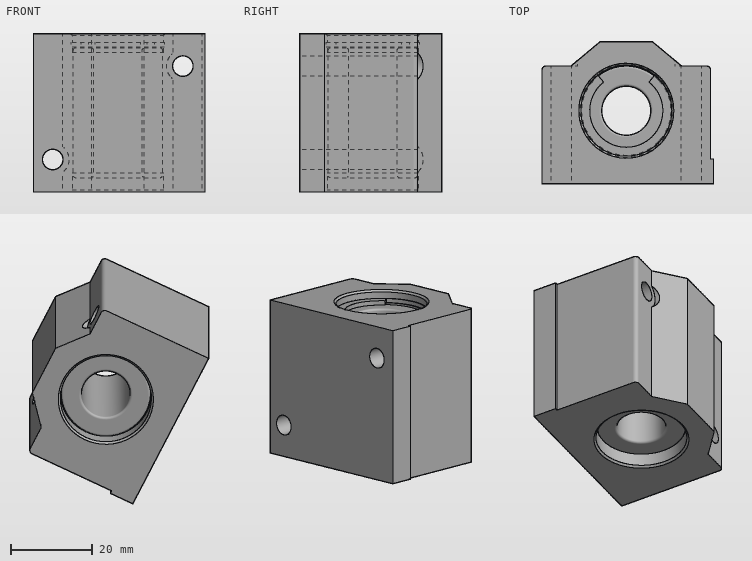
import cadquery as cq
import math

height = 39.0
body_width = 41.55
lip_side_width = 42.25
depth = 35.0
front_to_axis = 18.0
lip_depth = 6.15
shoulder_drop = 5.95
ridge_foot_half_width = 13.6
ridge_top_half_width = 6.45
corner_radius = 1.0

bore_radius = 11.0
mouth_radius = 11.2
mouth_depth = 4.65
mouth_chamfer = 0.5
groove_radius = 11.5
ring_top_inset = 2.15
ring_thickness = 1.1

ring_inner_radius = 9.0
ring_gap_half_angle = 38.5

bushing_bore_radius = 6.0
bushing_inset = 3.5
bushing_rim_radius = 0.6

mount_diameter = 5.0
spot_face_diameter = 8.03
mount_offset_x = 16.0
mount_offset_z = 11.5

front_y = -front_to_axis
back_y = front_y + depth
shoulder_y = back_y - shoulder_drop
left_x = -body_width / 2
right_x = body_width / 2
lip_x = left_x + lip_side_width
lip_y = front_y + lip_depth
ring_top_z = height - ring_top_inset
ring_bottom_z = ring_top_z - ring_thickness
bushing_top_z = height - bushing_inset
bushing_bottom_z = bushing_inset


def cylinder(radius, bottom_z, top_z):
    """Round bar on the bore axis between two heights."""
    return cq.Workplane("XY").workplane(offset=bottom_z).circle(radius).extrude(top_z - bottom_z)


def make_block():
    """Plain block with the ridge along its back and the lip beside its front face."""
    outline = [
        (left_x, front_y),
        (lip_x, front_y),
        (lip_x, lip_y),
        (right_x, lip_y),
        (right_x, shoulder_y),
        (ridge_foot_half_width, shoulder_y),
        (ridge_top_half_width, back_y),
        (-ridge_top_half_width, back_y),
        (-ridge_foot_half_width, shoulder_y),
        (left_x, shoulder_y),
    ]
    block = cq.Workplane("XY").polyline(outline).close().extrude(height)
    for corner_x in (left_x, right_x):
        corner_edge = cq.selectors.NearestToPointSelector((corner_x, shoulder_y, height / 2))
        block = block.edges(corner_edge).fillet(corner_radius)
    return block


def cut_bore(block):
    """Through bore with a chamfered, wider mouth at each end and a groove for the retaining ring."""
    block = block.cut(cylinder(bore_radius, 0, height))
    block = block.cut(cylinder(mouth_radius, 0, mouth_depth))
    block = block.cut(cylinder(mouth_radius, height - mouth_depth, height))
    widest_circles = cq.selectors.RadiusNthSelector(-1)
    block = block.faces("<Z or >Z").edges(widest_circles).chamfer(mouth_chamfer)
    return block.cut(cylinder(groove_radius, ring_bottom_z, ring_top_z))


def cut_mounting_hole(block, side):
    """Through hole along Y, with a spot face level with the shoulder cut into the ridge flank."""
    x = side * mount_offset_x
    z = height / 2 + side * mount_offset_z

    def bar(diameter, start_y):
        base = cq.Plane(origin=(x, start_y, z), xDir=(1, 0, 0), normal=(0, 1, 0))
        return cq.Workplane(base).circle(diameter / 2).extrude(back_y - start_y)

    return block.cut(bar(mount_diameter, front_y)).cut(bar(spot_face_diameter, shoulder_y))


def make_housing():
    housing = cut_bore(make_block())
    for side in (-1, 1):
        housing = cut_mounting_hole(housing, side)
    return housing


def make_retaining_ring():
    """Flat ring filling the groove, open towards +Y."""
    ring = cylinder(groove_radius, ring_bottom_z, ring_top_z)
    ring = ring.cut(cylinder(ring_inner_radius, ring_bottom_z, ring_top_z))
    wedge_length = 2 * groove_radius
    wedge_half_width = wedge_length * math.tan(math.radians(ring_gap_half_angle))
    wedge = (
        cq.Workplane("XY")
        .workplane(offset=ring_bottom_z)
        .polyline([(0, 0), (wedge_half_width, wedge_length), (-wedge_half_width, wedge_length)])
        .close()
        .extrude(ring_thickness)
    )
    return ring.cut(wedge)


def make_bushing():
    """Sleeve centred in the housing's height, with rounded inner and outer rims."""
    sleeve = cylinder(bore_radius, bushing_bottom_z, bushing_top_z)
    sleeve = sleeve.cut(cylinder(bushing_bore_radius, bushing_bottom_z, bushing_top_z))
    return sleeve.faces("<Z or >Z").edges().fillet(bushing_rim_radius)


housing = make_housing()
retaining_ring = make_retaining_ring()
bushing = make_bushing()

result = cq.Compound.makeCompound([housing.val(), retaining_ring.val(), bushing.val()])